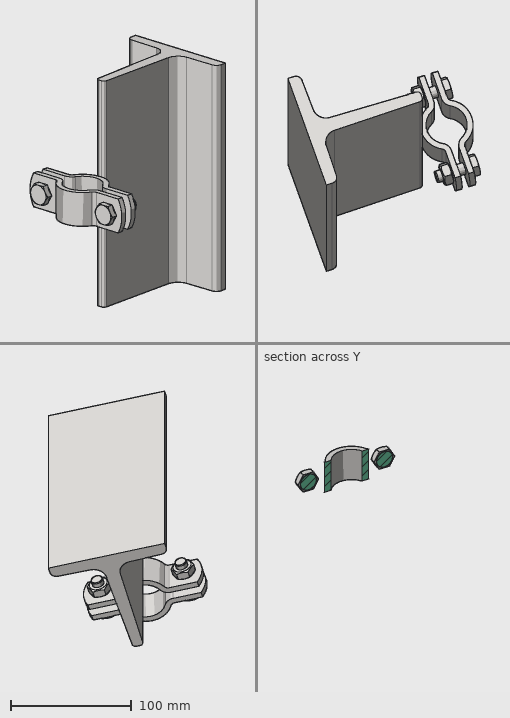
import cadquery as cq
import math

beam_length = 200.0
beam_width = 100.0
beam_depth = 100.0
beam_thickness = 11.0
face_slope = 0.02
root_radius = beam_thickness
toe_radius = beam_thickness / 2
tip_radius = 3.0
weld_overlap = 0.1

clamp_outer_radius = 22.0
strap_thickness = 5.0
strap_gap = 6.8
strap_width = 30.0
strap_span = 102.0
strap_end_radius = 30.0
bend_radius = 4.0
clamp_axis_y = -(beam_depth + clamp_outer_radius)

bolt_spacing = 72.0
bolt_diameter = 10.0
bolt_tip_diameter = 9.2
bolt_tip_length = 1.0
bolt_end = 21.5
hex_flats = 17.0
nut_face_diameter = 15.5
head_face_diameter = hex_flats
hex_chamfer_angle = 30.0
washer_face_diameter = 15.5
washer_face_height = 0.5
head_height = 6.5
nut_height = 8.0

ear_inner = strap_gap / 2
ear_outer = ear_inner + strap_thickness


def make_beam():
    half_width = beam_width / 2
    tip_y = -(beam_depth + weld_overlap)

    def flange_underside(x):
        return -beam_thickness + face_slope * (x - beam_width / 4)

    def web_half(y):
        return beam_thickness / 2 + face_slope * (y + beam_depth / 2)

    root_x = web_half(-beam_thickness)
    root = (root_x, flange_underside(root_x))
    toe = (half_width, flange_underside(half_width))
    tip = (web_half(tip_y), tip_y)

    right_side = [(half_width, 0), toe, root, tip]
    left_side = [(-x, y) for x, y in reversed(right_side)]
    beam = (
        cq.Workplane("XY", origin=(0, 0, -beam_length / 2))
        .polyline(right_side + left_side)
        .close()
        .extrude(beam_length)
    )
    for (x, y), radius in ((root, root_radius), (toe, toe_radius), (tip, tip_radius)):
        for side in (-1, 1):
            corner = cq.selectors.NearestToPointSelector((side * x, y, 0))
            beam = beam.edges("|Z").edges(corner).fillet(radius)
    return beam


def make_strap():
    """Strap on the +Y side of a clamp axis through the origin."""
    inner_radius = clamp_outer_radius - strap_thickness
    half_span = strap_span / 2

    centre_y = ear_outer + bend_radius
    centre_x = math.sqrt((clamp_outer_radius + bend_radius) ** 2 - centre_y**2)
    tangent_angle = math.atan2(centre_y, centre_x)

    def on_bow(radius, side):
        return (side * radius * math.cos(tangent_angle), radius * math.sin(tangent_angle))

    profile = (
        cq.Workplane("XY", origin=(0, 0, -strap_width / 2))
        .moveTo(-half_span, ear_outer)
        .lineTo(-centre_x, ear_outer)
        .tangentArcPoint(on_bow(clamp_outer_radius, -1), relative=False)
        .threePointArc((0, clamp_outer_radius), on_bow(clamp_outer_radius, 1))
        .tangentArcPoint((centre_x, ear_outer), relative=False)
        .lineTo(half_span, ear_outer)
        .lineTo(half_span, ear_inner)
        .lineTo(centre_x, ear_inner)
        .tangentArcPoint(on_bow(inner_radius, 1), relative=False)
        .threePointArc((0, inner_radius), on_bow(inner_radius, -1))
        .tangentArcPoint((-centre_x, ear_inner), relative=False)
        .lineTo(-half_span, ear_inner)
        .close()
        .extrude(strap_width)
    )

    half_strap = strap_width / 2
    end_rise = strap_end_radius - math.sqrt(strap_end_radius**2 - half_strap**2)
    corner_x = half_span - end_rise
    outline = (
        cq.Workplane("XZ")
        .moveTo(-corner_x, -half_strap)
        .lineTo(corner_x, -half_strap)
        .threePointArc((half_span, 0), (corner_x, half_strap))
        .lineTo(-corner_x, half_strap)
        .threePointArc((-half_span, 0), (-corner_x, -half_strap))
        .close()
        .extrude(-clamp_outer_radius)
    )
    return profile.intersect(outline)


def make_hexagon(height, face_diameter, chamfer_base):
    """Hexagon prism from Z = 0 up, corners chamfered at the top and optionally at the base."""
    corner_radius = hex_flats / math.sqrt(3)
    face_radius = face_diameter / 2
    chamfer = (corner_radius - face_radius) * math.tan(math.radians(hex_chamfer_angle))
    envelope = [(0, 0)]
    if chamfer_base:
        envelope += [(face_radius, 0), (corner_radius, chamfer)]
    else:
        envelope += [(corner_radius, 0)]
    envelope += [(corner_radius, height - chamfer), (face_radius, height), (0, height)]
    turned = cq.Workplane("XZ").polyline(envelope).close().revolve(360, (0, 0), (0, 1))
    return cq.Workplane("XY").polygon(6, 2 * corner_radius).extrude(height).intersect(turned)


def make_bolt():
    """Bolt along +Z, with the clamp axis level at Z = 0."""
    tip_start = bolt_end - bolt_tip_length
    half_shank = [
        (0, -ear_outer),
        (bolt_diameter / 2, -ear_outer),
        (bolt_diameter / 2, tip_start),
        (bolt_tip_diameter / 2, bolt_end),
        (0, bolt_end),
    ]
    shank = cq.Workplane("XZ").polyline(half_shank).close().revolve(360, (0, 0), (0, 1))
    collar = cq.Workplane("XY").circle(washer_face_diameter / 2).extrude(washer_face_height)
    hexagon = make_hexagon(head_height - washer_face_height, head_face_diameter, False)
    head = collar.union(hexagon.translate((0, 0, washer_face_height)))
    head = head.mirror("XY").translate((0, 0, -ear_outer))
    nut = make_hexagon(nut_height, nut_face_diameter, True).translate((0, 0, ear_outer))
    return shank.union(head).union(nut)


def make_clamp():
    strap = make_strap()
    clamp = strap.union(strap.mirror("XZ"))
    bolt = make_bolt().rotate((0, 0, 0), (1, 0, 0), -90)
    for side in (-1, 1):
        clamp = clamp.union(bolt.translate((side * bolt_spacing / 2, 0, 0)))
    return clamp


result = make_beam().union(make_clamp().translate((0, clamp_axis_y, 0)))